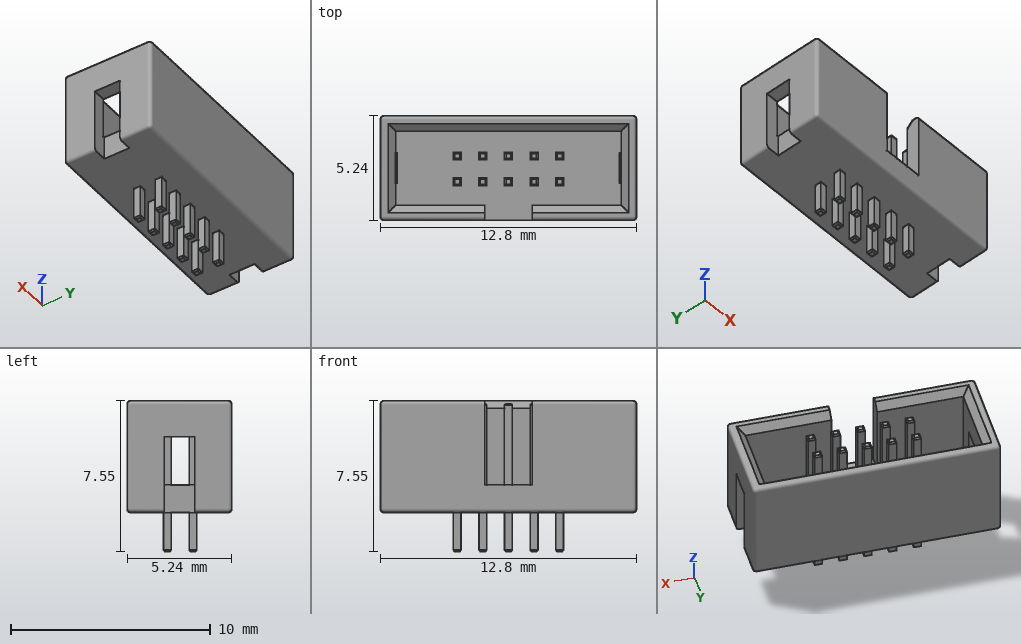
import cadquery as cq

LENGTH = 12.81
WIDTH = 5.24
HEIGHT = 5.6
EDGE_RADIUS = 0.19
WALL = 0.77
FLOOR = 1.38

LEAD_IN = 0.37

KEY_SLOT_WIDTH = 2.36

LATCH_SLOT_WIDTH = 1.51
LATCH_SLOT_HEIGHT = 3.78
LATCH_SLOT_DEPTH = 0.85

COLUMNS = 5
ROWS = 2
PITCH = 1.28
PIN_SIDE = 0.4
PIN_TIP_CHAMFER = 0.08
PIN_BELOW = 1.95
PIN_TOP_GAP = 0.15
PIN_LENGTH = PIN_BELOW + HEIGHT - PIN_TOP_GAP
PIN_OFFSET_Y = -0.04

KEY_COLUMN = 2
KEY_ROW = 0


def pin_center(column, row):
    """Centre of a pin in plan; column 0 is at -X and row 0 at -Y."""
    x = (column - (COLUMNS - 1) / 2) * PITCH
    y = (row - (ROWS - 1) / 2) * PITCH + PIN_OFFSET_Y
    return x, y


def separate_pin_centers():
    """Centres of all the pins that are bodies of their own."""
    return [
        pin_center(column, row)
        for row in range(ROWS)
        for column in range(COLUMNS)
        if (column, row) != (KEY_COLUMN, KEY_ROW)
    ]


def block(length, width, height, x, y, z):
    """Box centred on (x, y) in plan with its underside at z."""
    return cq.Workplane("XY").box(length, width, height, centered=(True, True, False)).translate((x, y, z))


def make_pin(center):
    """One straight square pin, chamfered at both tips."""
    pin = block(PIN_SIDE, PIN_SIDE, PIN_LENGTH, *center, -PIN_BELOW)
    return pin.faces("<Z or >Z").chamfer(PIN_TIP_CHAMFER)


def make_cavity():
    """Space inside the walls, flaring out at the mouth."""
    cavity_length = LENGTH - 2 * WALL
    cavity_width = WIDTH - 2 * WALL
    straight = block(cavity_length, cavity_width, HEIGHT - FLOOR, 0, 0, FLOOR)
    flare = (
        cq.Workplane("XY", origin=(0, 0, HEIGHT - LEAD_IN))
        .rect(cavity_length, cavity_width)
        .workplane(offset=LEAD_IN)
        .rect(cavity_length + 2 * LEAD_IN, cavity_width + 2 * LEAD_IN)
        .loft(ruled=True)
    )
    return straight.union(flare)


def make_housing():
    """Rounded box with its cavity, slots, pin holes and the key pin."""
    housing = block(LENGTH, WIDTH, HEIGHT, 0, 0, 0).edges().fillet(EDGE_RADIUS)
    housing = housing.cut(make_cavity())

    key_slot = block(KEY_SLOT_WIDTH, WIDTH / 2, HEIGHT - FLOOR, 0, -WIDTH / 2, FLOOR)
    housing = housing.cut(key_slot)

    for end in (-1, 1):
        latch_slot = block(
            2 * LATCH_SLOT_DEPTH, LATCH_SLOT_WIDTH, LATCH_SLOT_HEIGHT, end * LENGTH / 2, 0, 0
        )
        housing = housing.cut(latch_slot)

    for center in separate_pin_centers():
        housing = housing.cut(make_pin(center))
    return housing.union(make_pin(pin_center(KEY_COLUMN, KEY_ROW)))


housing = make_housing()
pins = [make_pin(center) for center in separate_pin_centers()]

result = cq.Compound.makeCompound([housing.val(), *[pin.val() for pin in pins]])